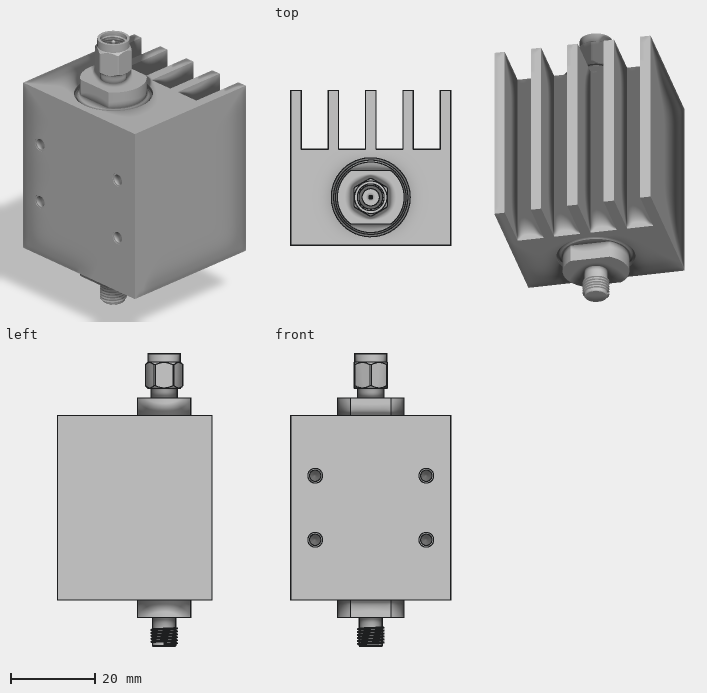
import cadquery as cq
import math

BODY_WIDTH = 38.1
BODY_HEIGHT = 43.9
BASE_DEPTH = 22.86
AXIS_TO_FRONT = BASE_DEPTH / 2
FIN_COUNT = 5
FIN_THICKNESS = 2.54
FIN_LENGTH = 13.97
FIN_PITCH = (BODY_WIDTH - FIN_THICKNESS) / (FIN_COUNT - 1)

HOLE_SPACING_X = 26.42
HOLE_SPACING_Z = 15.24
HOLE_RADIUS = 1.35
HOLE_DEPTH = 5.0
HOLE_STEP_RADIUS = 1.75
HOLE_STEP_DEPTH = 0.1
DRILL_POINT_HALF_ANGLE = 59.0

END_BORE_RADIUS = 9.4
END_BORE_DEPTH = 1.0
DISK_RADIUS = 8.84
DISK_CHAMFER = 0.45
FLANGE_RADIUS = 7.94
FLANGE_HEIGHT = 4.19
FLANGE_FLATS = 12.7

INCH = 25.4
THREAD_RADIUS = INCH / 4 / 2
THREAD_PITCH = INCH / 36
THREAD_ROOT_WIDTH = 0.5
THREAD_CREST_WIDTH = 0.12
THREAD_OVERLAP = 0.1

PLUG_NECK_RADIUS = 3.18
NUT_FLATS = 7.94
NUT_BOTTOM = 6.45
NUT_TOP = 12.7
NUT_TURNED_RADIUS = 4.48
COLLAR_RADIUS = 3.86
NUT_CHAMFER = NUT_TURNED_RADIUS - COLLAR_RADIUS
COLLAR_TOP = 14.72
SOCKET_RADIUS = 3.2
SOCKET_DEPTH = 5.0
INNER_THREAD_CREST_RADIUS = 2.85
INNER_THREAD_START = 0.7
INNER_THREAD_TURNS = 4
INSULATOR_RADIUS = 2.05
INSULATOR_HEIGHT = 2.0
PIN_RADIUS = 0.46
PIN_RECESS = 0.6
PIN_CHAMFER = 0.3

JACK_RADIUS = 2.79
JACK_LENGTH = 10.98
JACK_CHAMFER = 0.15
JACK_THREAD_START = 6.55
JACK_THREAD_TURNS = 5.5


def cylinder(radius, bottom, top):
    """Cylinder on the connector axis between two heights."""
    return cq.Workplane("XY").workplane(offset=bottom).circle(radius).extrude(top - bottom)


def helical_ridge(root_radius, crest_radius, bottom, turns):
    """Trapezoidal thread ridge from root to crest, running on past the root to fuse."""
    outward = math.copysign(1, crest_radius - root_radius)
    buried_radius = root_radius - outward * THREAD_OVERLAP
    root = THREAD_ROOT_WIDTH / 2
    crest = THREAD_CREST_WIDTH / 2
    helix = cq.Wire.makeHelix(THREAD_PITCH, turns * THREAD_PITCH, root_radius)
    profile = cq.Workplane("XZ").polyline([
        (buried_radius, -root),
        (crest_radius, -crest),
        (crest_radius, crest),
        (buried_radius, root),
    ]).close()
    return profile.sweep(cq.Workplane(helix), isFrenet=True).translate((0, 0, bottom))


def finned_body():
    base = cq.Workplane("XY").box(BODY_WIDTH, BASE_DEPTH, BODY_HEIGHT)
    fin_y = BASE_DEPTH - AXIS_TO_FRONT + FIN_LENGTH / 2
    for index in range(FIN_COUNT):
        fin_x = (index - (FIN_COUNT - 1) / 2) * FIN_PITCH
        fin = cq.Workplane("XY").box(FIN_THICKNESS, FIN_LENGTH, BODY_HEIGHT)
        base = base.union(fin.translate((fin_x, fin_y, 0)))
    return base


def mounting_holes():
    """Blind holes with a shallow step at the mouth and a drill-point end, as one cutting body."""
    point_length = HOLE_RADIUS / math.tan(math.radians(DRILL_POINT_HALF_ANGLE))
    hole = (
        cq.Workplane("XY")
        .polyline([
            (0, 0),
            (HOLE_STEP_RADIUS, 0),
            (HOLE_STEP_RADIUS, HOLE_STEP_DEPTH),
            (HOLE_RADIUS, HOLE_STEP_DEPTH),
            (HOLE_RADIUS, HOLE_DEPTH),
            (0, HOLE_DEPTH + point_length),
        ])
        .close()
        .revolve(360, (0, 0, 0), (0, 1, 0))
        .translate((0, -AXIS_TO_FRONT, 0))
    )
    holes = cq.Workplane("XY")
    for side_x in (-1, 1):
        for side_z in (-1, 1):
            place = (side_x * HOLE_SPACING_X / 2, 0, side_z * HOLE_SPACING_Z / 2)
            holes = holes.add(hole.translate(place))
    return holes.combine()


def end_groove():
    """Ring groove around the chamfered disk, just below the end face at Z = 0."""
    disk = cylinder(DISK_RADIUS, -END_BORE_DEPTH, 0).faces(">Z").chamfer(DISK_CHAMFER)
    return cylinder(END_BORE_RADIUS, -END_BORE_DEPTH, 0).cut(disk)


def flange():
    """Round flange with two flats facing front and back."""
    flats = cq.Workplane("XY").box(
        2 * FLANGE_RADIUS, FLANGE_FLATS, FLANGE_HEIGHT, centered=(True, True, False)
    )
    return cylinder(FLANGE_RADIUS, 0, FLANGE_HEIGHT).intersect(flats)


def hex_nut():
    """Hexagon with corners on the Y axis, turned down at the corners and chamfered at both ends."""
    height = NUT_TOP - NUT_BOTTOM
    hexagon = (
        cq.Workplane("XY")
        .workplane(offset=NUT_BOTTOM)
        .polygon(6, NUT_FLATS, circumscribed=True)
        .extrude(height)
    )
    envelope = cylinder(NUT_TURNED_RADIUS, NUT_BOTTOM, NUT_TOP).faces("<Z or >Z").chamfer(NUT_CHAMFER)
    return hexagon.intersect(envelope)


def plug():
    """Plug with coupling nut, threaded socket and centre pin, standing on Z = 0."""
    floor = COLLAR_TOP - SOCKET_DEPTH
    thread_length = INNER_THREAD_TURNS * THREAD_PITCH
    thread_bottom = COLLAR_TOP - INNER_THREAD_START - thread_length
    body = flange().union(cylinder(PLUG_NECK_RADIUS, FLANGE_HEIGHT, NUT_BOTTOM))
    body = body.union(hex_nut()).union(cylinder(COLLAR_RADIUS, NUT_TOP, COLLAR_TOP))
    body = body.cut(cylinder(SOCKET_RADIUS, floor, COLLAR_TOP))
    body = body.union(
        helical_ridge(SOCKET_RADIUS, INNER_THREAD_CREST_RADIUS, thread_bottom, INNER_THREAD_TURNS)
    )
    pin = cylinder(PIN_RADIUS, floor, COLLAR_TOP - PIN_RECESS).faces(">Z").chamfer(PIN_CHAMFER)
    insulator = cylinder(INSULATOR_RADIUS, floor, floor + INSULATOR_HEIGHT)
    return body.union(insulator).union(pin)


def jack():
    """Externally threaded jack, standing on Z = 0."""
    barrel = cylinder(JACK_RADIUS, FLANGE_HEIGHT, JACK_LENGTH).faces(">Z").chamfer(JACK_CHAMFER)
    thread = helical_ridge(JACK_RADIUS, THREAD_RADIUS, JACK_THREAD_START, JACK_THREAD_TURNS)
    return flange().union(barrel).union(thread)


def at_top(feature):
    return feature.translate((0, 0, BODY_HEIGHT / 2))


def at_bottom(feature):
    return at_top(feature).rotate((0, 0, 0), (1, 0, 0), 180)


result = (
    finned_body()
    .cut(mounting_holes())
    .cut(at_top(end_groove()))
    .cut(at_bottom(end_groove()))
    .union(at_top(plug()))
    .union(at_bottom(jack()))
)